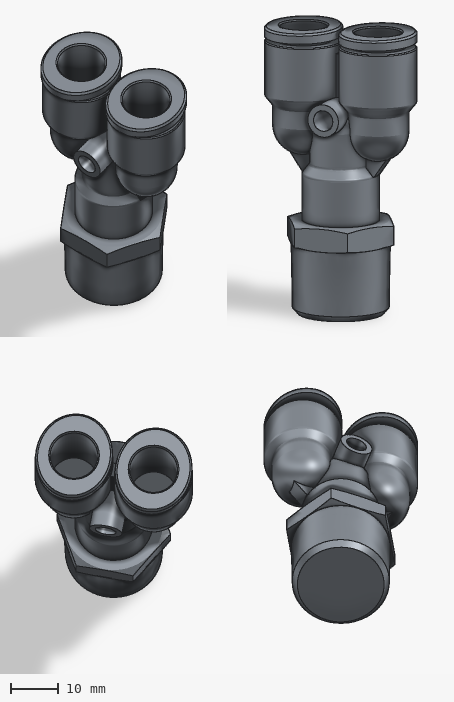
import cadquery as cq


total_height = 61.0
wide_radius = 8.2
narrow_radius = 6.5
shoulder_height = 2.0
shoulder_fillet = 0.85
socket_offset = 8.5

thread_end_radius = 10.2
thread_top_radius = 10.45
thread_chamfer_height = 1.3
thread_chamfer_width = 1.1
hex_bottom = 15.0
hex_height = 5.0
hex_across_flats = 21.0
hex_face_radius = 10.4
hex_corner_drop = 0.5

stem_shoulder_bottom = 29.95
stem_dome_center = 39.5

socket_dome_center = 39.85
socket_shoulder_bottom = 44.0
socket_top = 57.75
socket_chamfer = 0.25

collar_length_x = 16.05
collar_length_y = 18.55
collar_height = 2.15
collar_chamfer = 0.4
collar_neck_radius = 5.85
bore_radius = 5.0
bore_chamfer = 0.3
bore_floor = socket_shoulder_bottom

boss_radius = 3.5
boss_length = 18.8
boss_center = 43.0
boss_hole_radius = 2.2
web_thickness = 3.0
web_top = 55.8
gusset_outer_x = 11.2
gusset_outer_z = 34.3

hex_top = hex_bottom + hex_height
hex_corner_radius = hex_across_flats / 3 ** 0.5
socket_shoulder_top = socket_shoulder_bottom + shoulder_height
stem_shoulder_top = stem_shoulder_bottom + shoulder_height
collar_bottom = total_height - collar_height


def revolved(points):
    """Turn a (radius, Z) outline around the Z axis."""
    return cq.Workplane("XZ").polyline(points).close().revolve(360, (0, 0), (0, 1))


def cylinder(radius, bottom, top):
    return cq.Workplane("XY").workplane(offset=bottom).circle(radius).extrude(top - bottom)


def shouldered_post(bottom, bottom_radius, cone_bottom, cone_top, top_radius, top):
    """Round post that changes radius through a cone with both cone edges rounded."""
    post = revolved([
        (0, bottom),
        (bottom_radius, bottom),
        (bottom_radius, cone_bottom),
        (top_radius, cone_top),
        (top_radius, top),
        (0, top),
    ])
    return post.edges("%CIRCLE and (not >Z) and (not <Z)").fillet(shoulder_fillet)


def dome(radius, center_z):
    return cq.Workplane("XY").sphere(radius).translate((0, 0, center_z))


def make_thread():
    return revolved([
        (0, 0),
        (thread_end_radius - thread_chamfer_width, 0),
        (thread_end_radius, thread_chamfer_height),
        (thread_top_radius, hex_bottom),
        (0, hex_bottom),
    ])


def make_hexagon():
    prism = (
        cq.Workplane("XY")
        .workplane(offset=hex_bottom)
        .polygon(6, 2 * hex_corner_radius)
        .extrude(hex_height)
    )
    corner_trim = revolved([
        (0, hex_bottom),
        (hex_face_radius, hex_bottom),
        (hex_corner_radius, hex_bottom + hex_corner_drop),
        (hex_corner_radius, hex_top - hex_corner_drop),
        (hex_face_radius, hex_top),
        (0, hex_top),
    ])
    return prism.intersect(corner_trim)


def make_stem():
    post = shouldered_post(
        hex_top, wide_radius, stem_shoulder_bottom,
        stem_shoulder_top, narrow_radius, stem_dome_center
    )
    return post.union(dome(narrow_radius, stem_dome_center))


def make_socket():
    """Socket on the Z axis with its domed root, neck and oval release collar."""
    post = shouldered_post(
        socket_dome_center, narrow_radius, socket_shoulder_bottom,
        socket_shoulder_top, wide_radius, socket_top
    )
    post = post.faces(">Z").edges().chamfer(socket_chamfer)
    neck = cylinder(collar_neck_radius, socket_top, collar_bottom)
    collar = (
        cq.Workplane("XY")
        .workplane(offset=collar_bottom)
        .ellipse(collar_length_x / 2, collar_length_y / 2)
        .extrude(collar_height)
        .faces(">Z")
        .edges()
        .chamfer(collar_chamfer)
    )
    return post.union(dome(narrow_radius, socket_dome_center)).union(neck).union(collar)


def make_bore():
    """Blind tube bore on the Z axis with a chamfered mouth."""
    return revolved([
        (0, bore_floor),
        (bore_radius, bore_floor),
        (bore_radius, total_height - bore_chamfer),
        (bore_radius + bore_chamfer, total_height),
        (0, total_height),
    ])


def make_web():
    """Flat wall in the XZ plane that joins the sockets and braces them to the stem."""
    half_outline = [
        (wide_radius, stem_shoulder_bottom),
        (gusset_outer_x, gusset_outer_z),
        (socket_offset, socket_dome_center),
        (socket_offset, web_top),
    ]
    mirrored = [(-x, z) for x, z in reversed(half_outline)]
    return cq.Workplane("XZ").polyline(half_outline + mirrored).close().extrude(web_thickness / 2, both=True)


def along_y(radius):
    """Cylinder along Y on the boss axis, as long as the boss."""
    return (
        cq.Workplane("XZ")
        .center(0, boss_center)
        .circle(radius)
        .extrude(boss_length / 2, both=True)
    )


result = make_thread().union(make_hexagon()).union(make_stem()).union(make_web())
for x in (-socket_offset, socket_offset):
    result = result.union(make_socket().translate((x, 0, 0)))
result = result.union(along_y(boss_radius))

for x in (-socket_offset, socket_offset):
    result = result.cut(make_bore().translate((x, 0, 0)))
result = result.cut(along_y(boss_hole_radius))